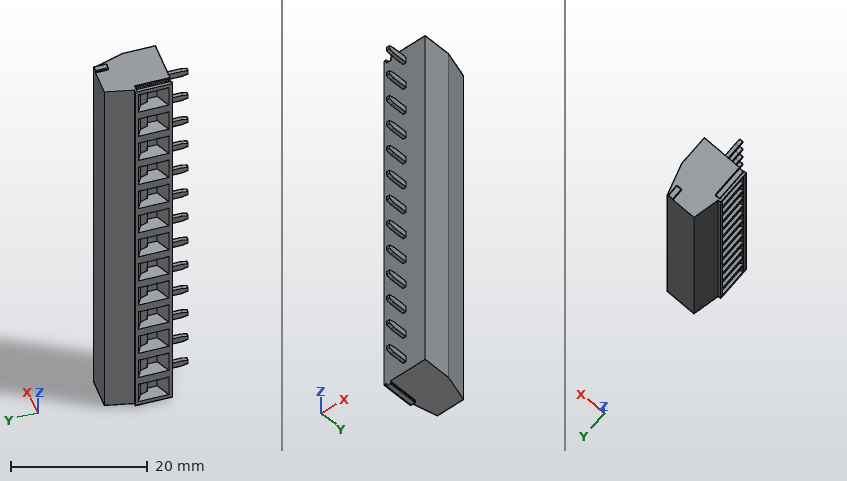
import cadquery as cq

poles = 13
overall_length = 67.05
key_height = 0.5
body_length = overall_length - 2 * key_height
pitch = body_length / poles

body_width = 8.1
body_height = 10.05
ledge_drop = 4.3
ledge_width = 0.5
top_left = 1.5
top_right = 6.65
right_slope_drop = 4.95

funnel_bottom = 0.6
funnel_height = 4.7
funnel_length = 3.6
funnel_depth = 1.75
funnel_low_inset = 1.2
funnel_side_inset = 0.5
lip_inset = 0.7
lip_start_depth = 1.0
lip_end_depth = 1.3
lip_width = 1.15

overall_height = 13.7
pin_length = overall_height - body_height
pin_thickness = 0.6
pin_width = 1.1
pin_tip_length = 0.95
pin_tip_inset = 0.235

key_width = 1.0
key_neck_width = 0.8
key_widest_height = 0.35
groove_depth = 0.6
low_key_x = 0.9
low_key_length = 5.4
high_key_x = 6.0
high_key_length = 1.95


def pole_z(index):
    return (index + 0.5) * pitch


def make_housing():
    ledge_y = body_height - ledge_drop
    outline = [
        (0, 0),
        (body_width, 0),
        (body_width, body_height - right_slope_drop),
        (top_right, body_height),
        (top_left, body_height),
        (ledge_width, ledge_y),
        (0, ledge_y),
    ]
    return cq.Workplane("XY").polyline(outline).close().extrude(body_length)


def make_funnel(z):
    """Tapered wire entry with a sloping clamp lip along its +Y wall."""
    funnel_top = funnel_bottom + funnel_height
    lip_top = funnel_top - lip_inset
    lip_edge = lip_top - lip_width
    half_mouth = funnel_length / 2
    half_floor = half_mouth - funnel_side_inset
    depth_profile = [
        (0, funnel_bottom),
        (funnel_depth, funnel_bottom + funnel_low_inset),
        (funnel_depth, lip_edge),
        (lip_end_depth, lip_edge),
        (lip_start_depth, lip_top),
        (0, funnel_top),
    ]
    side_walls = [
        (0, z - half_mouth),
        (funnel_depth, z - half_floor),
        (funnel_depth, z + half_floor),
        (0, z + half_mouth),
    ]
    scoop = (
        cq.Workplane("XY", origin=(0, 0, z - half_mouth))
        .polyline(depth_profile).close().extrude(funnel_length)
    )
    taper = cq.Workplane("XZ").polyline(side_walls).close().extrude(-body_height)
    return scoop.intersect(taper)


def make_pin(z):
    """Flat pin below the -Y face, narrowed along Z at its tip."""
    half_width = pin_width / 2
    half_tip = half_width - pin_tip_inset
    tip_start = -pin_length + pin_tip_length
    outline = [
        (0, z - half_width),
        (tip_start, z - half_width),
        (-pin_length, z - half_tip),
        (-pin_length, z + half_tip),
        (tip_start, z + half_width),
        (0, z + half_width),
    ]
    return (
        cq.Workplane("YZ", origin=(body_width / 2, 0, 0))
        .polyline(outline).close().extrude(pin_thickness / 2, both=True)
    )


def make_dovetail(x, z, height, widest_height, y_start, length):
    """Dovetail bar along Y, standing on the plane at z; negative heights reach toward -Z."""
    half_neck = key_neck_width / 2
    half_width = key_width / 2
    section = [
        (x - half_neck, z),
        (x - half_width, z + widest_height),
        (x - half_neck, z + height),
        (x + half_neck, z + height),
        (x + half_width, z + widest_height),
        (x + half_neck, z),
    ]
    return cq.Workplane("XZ", origin=(0, y_start, 0)).polyline(section).close().extrude(-length)


result = make_housing()
for index in range(poles):
    result = result.cut(make_funnel(pole_z(index)))
    result = result.union(make_pin(pole_z(index)))

low_key = make_dovetail(low_key_x, 0, -key_height, -key_widest_height, 0, low_key_length)
high_key = make_dovetail(
    high_key_x, body_length, key_height, key_widest_height,
    body_height - high_key_length, high_key_length,
)
result = result.union(low_key).union(high_key)

groove_widest = groove_depth * key_widest_height / key_height
groove = make_dovetail(low_key_x, body_length, -groove_depth, -groove_widest, 0, low_key_length)
result = result.cut(groove)